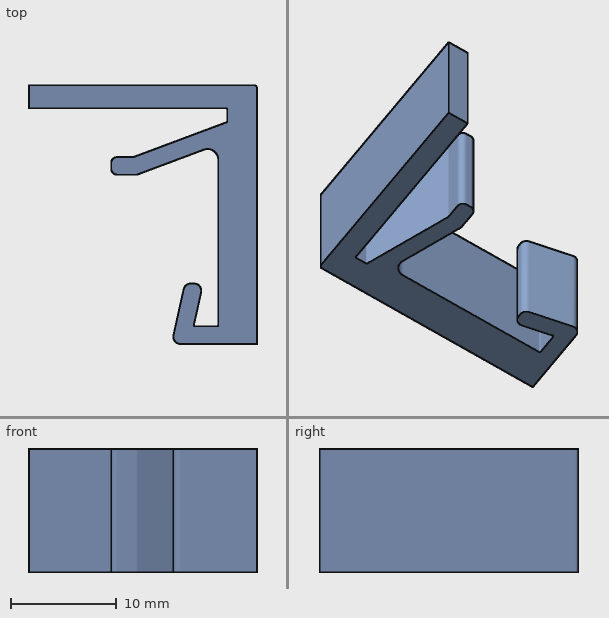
import cadquery as cq
import math

WIDTH = 21.64
DEPTH = 24.54
HEIGHT = 11.7

FLANGE_THICKNESS = 2.2
WALL_THICKNESS = 3.7
OUTER_CORNER_RADIUS = 0.3
INNER_CORNER_RADIUS = 0.1

ARM_ANGLE = math.radians(20.5)
ARM_THICKNESS = 1.7
ARM_REACH = 13.85
ARM_TIP_DROP = 8.5
ARM_TIP_LENGTH = 2.45
ARM_TIP_RADIUS = 0.6
ARM_BEND_RADIUS = 0.5
ARM_ROOT_RADIUS = 1.0
SLOT_END_INSET = 2.85

HOOK_ANGLE = math.radians(12.5)
HOOK_FLOOR_THICKNESS = 1.7
HOOK_THICKNESS = 1.7
HOOK_REACH = 8.13
HOOK_HEIGHT = 5.75
HOOK_BASE_RADIUS = 0.7
HOOK_TIP_RADIUS = 0.7

WALL_INNER_X = -WALL_THICKNESS


def arm_points():
    """Arm outline from the slot end, round the tip, to the wall."""
    tip_x = -ARM_REACH
    under_y = -ARM_TIP_DROP
    over_y = under_y + ARM_THICKNESS
    under_bend_x = tip_x + ARM_TIP_LENGTH
    over_bend_x = under_bend_x - ARM_THICKNESS * math.tan(ARM_ANGLE / 2)
    slope = math.tan(ARM_ANGLE)
    slot_end_x = -SLOT_END_INSET
    return [
        (slot_end_x, over_y + (slot_end_x - over_bend_x) * slope),
        (over_bend_x, over_y),
        (tip_x, over_y),
        (tip_x, under_y),
        (under_bend_x, under_y),
        (WALL_INNER_X, under_y + (WALL_INNER_X - under_bend_x) * slope),
    ]


def hook_points():
    """Hook outline from the wall's inner face to the outer base corner."""
    lean = math.tan(HOOK_ANGLE)
    outer_x = -HOOK_REACH
    thickness_x = HOOK_THICKNESS / math.cos(HOOK_ANGLE)
    tip_x = outer_x + HOOK_HEIGHT * lean
    floor_y = -DEPTH + HOOK_FLOOR_THICKNESS
    tip_y = -DEPTH + HOOK_HEIGHT
    inner_x = outer_x + thickness_x + HOOK_FLOOR_THICKNESS * lean
    return [
        (WALL_INNER_X, floor_y),
        (inner_x, floor_y),
        (tip_x + thickness_x, tip_y),
        (tip_x, tip_y),
        (outer_x, -DEPTH),
    ]


def round_edges(body, points, radius):
    """Fillet the upright edges that stand on the given profile points."""
    for x, y in points:
        edge = cq.selectors.NearestToPointSelector((x, y, HEIGHT / 2))
        body = body.edges("|Z").edges(edge).fillet(radius)
    return body


slot_end, over_bend, tip_over, tip_under, under_bend, arm_root = arm_points()
floor_wall, floor_hook, hook_tip_inner, hook_tip_outer, hook_base = hook_points()
slot_top = (-SLOT_END_INSET, -FLANGE_THICKNESS)

outline = [
    (0, 0),
    (-WIDTH, 0),
    (-WIDTH, -FLANGE_THICKNESS),
    slot_top,
    *arm_points(),
    *hook_points(),
    (0, -DEPTH),
]

result = cq.Workplane("XY").polyline(outline).close().extrude(HEIGHT)
result = round_edges(result, [(0, 0)], OUTER_CORNER_RADIUS)
result = round_edges(result, [slot_top, slot_end, floor_wall, floor_hook], INNER_CORNER_RADIUS)
result = round_edges(result, [tip_over, tip_under], ARM_TIP_RADIUS)
result = round_edges(result, [over_bend, under_bend], ARM_BEND_RADIUS)
result = round_edges(result, [arm_root], ARM_ROOT_RADIUS)
result = round_edges(result, [hook_tip_inner, hook_tip_outer], HOOK_TIP_RADIUS)
result = round_edges(result, [hook_base], HOOK_BASE_RADIUS)